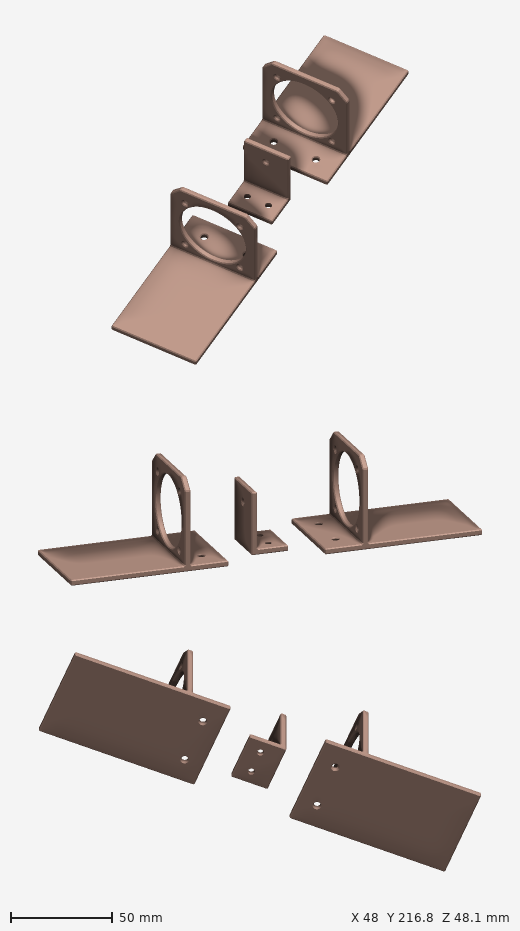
import cadquery as cq
edge_chamfer = 0.5
screw_hole_diameter = 3.5

overall_length = 216.8
overall_height = 48.1
rear_bracket_lift = 0.1
bracket_width = 48.0
bracket_height = overall_height - rear_bracket_lift
bracket_length = 83.0
bracket_thickness = 3.0
bracket_inner_y = overall_length / 2 - bracket_length
upright_setback = 20.0
upright_corner_cut = 5.6

axis_height = bracket_height / 2
bore_diameter = 37.3
motor_hole_spacing = 31.0

base_hole_spacing = 23.9
base_hole_setback = 10.0

small_width = 25.2
small_height = 33.0
small_depth = 19.5
small_thickness = 3.0
small_back_y = 9.0
small_hole_spacing = 12.0
small_hole_setback = 11.3


def block(width, y_start, y_length, height):
    """Block centred on X, standing on Z = 0."""
    return cq.Workplane("XY").box(width, y_length, height, (True, False, False)).translate((0, y_start, 0))


def drill_down(body, points, diameter, depth):
    """Drill vertical holes through a base that stands on Z = 0."""
    tools = cq.Workplane("XY").pushPoints(points).circle(diameter / 2).extrude(depth)
    return body.cut(tools)


def drill_along_y(body, points, diameter, y_start, depth):
    """Drill horizontal holes, at (x, z) points, through an upright plate."""
    tools = cq.Workplane("XZ", (0, y_start, 0)).pushPoints(points).circle(diameter / 2).extrude(-depth)
    return body.cut(tools)


def make_motor_bracket():
    """Motor bracket on the +Y side, standing on Z = 0."""
    upright_y = bracket_inner_y + upright_setback
    base = block(bracket_width, bracket_inner_y, bracket_length, bracket_thickness)
    upright = block(bracket_width, upright_y, bracket_thickness, bracket_height)
    upright = upright.edges("|Y and >Z").chamfer(upright_corner_cut)
    body = base.union(upright)

    body = drill_along_y(body, [(0, axis_height)], bore_diameter, upright_y, bracket_thickness)
    half = motor_hole_spacing / 2
    motor_holes = [(x, axis_height + z) for x in (-half, half) for z in (-half, half)]
    body = drill_along_y(body, motor_holes, screw_hole_diameter, upright_y, bracket_thickness)

    base_hole_y = bracket_inner_y + base_hole_setback
    base_holes = [(side * base_hole_spacing / 2, base_hole_y) for side in (-1, 1)]
    body = drill_down(body, base_holes, screw_hole_diameter, bracket_thickness)

    return body.edges().chamfer(edge_chamfer)


def make_small_bracket():
    """L-shaped bracket; its base holes keep plain rims."""
    upright_y = small_back_y - small_thickness
    base = block(small_width, small_back_y - small_depth, small_depth, small_thickness)
    upright = block(small_width, upright_y, small_thickness, small_height)
    body = base.union(upright)
    body = drill_along_y(body, [(0, axis_height)], screw_hole_diameter, upright_y, small_thickness)
    body = body.edges().chamfer(edge_chamfer)

    base_hole_y = small_back_y - small_hole_setback
    base_holes = [(side * small_hole_spacing / 2, base_hole_y) for side in (-1, 1)]
    return drill_down(body, base_holes, screw_hole_diameter, small_thickness)


motor_brackets = []
for turn, lift in [(0, rear_bracket_lift), (180, 0)]:
    bracket = make_motor_bracket().rotate((0, 0, 0), (0, 0, 1), turn).translate((0, 0, lift))
    motor_brackets.append(bracket.val())
small_bracket = make_small_bracket()

result = cq.Compound.makeCompound([*motor_brackets, small_bracket.val()])